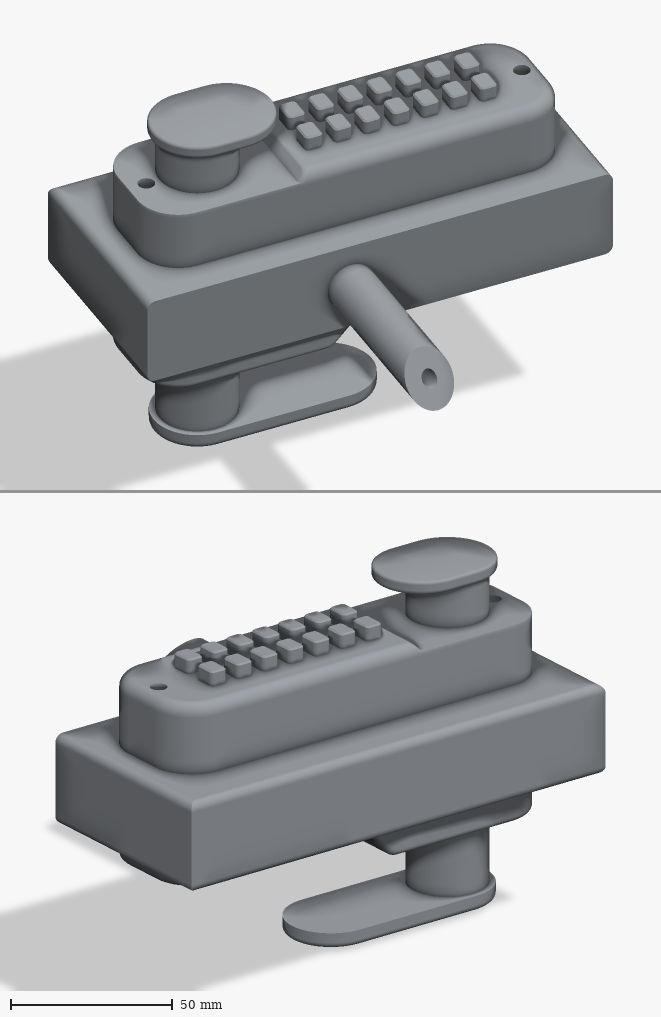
import cadquery as cq
import math

BOX_LENGTH_X = 70.0
BOX_LENGTH_Y = 160.0
BOX_DEPTH = 30.0
BOX_LEFT = -37.5
BOX_RIGHT = BOX_LEFT + BOX_LENGTH_X
BOX_TOP = BOX_DEPTH / 2
BOX_BOTTOM = -BOX_DEPTH / 2
FRAME_WIDTH = 6.25
FRAME_EDGE_RADIUS = 2.75
FRAME_EDGE_FACETS = 8

HOUSING_WIDTH = 42.0
HOUSING_LENGTH = 142.0
HOUSING_CORNER_RADIUS = 14.0

KEYPAD_HIGH = 23.0
KEYPAD_LOW = 20.0
KEYPAD_RIM_RADIUS = 4.0
STEP_FOOT_Y = -22.2
STEP_CREST_RADIUS = 1.5
SCREW_HOLE_DIAMETER = 5.5
SCREW_HOLE_Y = 64.5

KEY_WIDTH = 8.0
KEY_LENGTH = 6.0
KEY_HEIGHT = 5.0
KEY_CORNER_RADIUS = 1.5
KEY_TOP_CHAMFER = 0.5
KEY_COLUMN_SPACING = 12.2
KEY_ROW_PITCH = 10.0
KEY_ROWS = 7
FIRST_KEY_ROW_Y = 48.5

REAR_SHALLOW = 8.0
REAR_DEEP = 16.0
REAR_SLOPE_START_Y = -2.4
REAR_SLOPE_RADIUS = 5.0
REAR_RIM_RADIUS = 2.0

SPINDLE_Y = -47.0
STEM_DIAMETER = 26.0
KNOB_WIDTH = 31.0
KNOB_CENTRE_DISTANCE = 10.0
KNOB_STEM_LENGTH = 14.5
KNOB_RIM = 4.5
KNOB_TOP_EDGE_RADIUS = 1.0
KNOB_UNDERSIDE_RADIUS = 1.5
KNOB_DOME = 1.3
DOME_SHOULDER = 0.75
DOME_JOIN_TOLERANCE = 0.001
HANDLE_WIDTH = 30.0
HANDLE_CENTRE_DISTANCE = 45.0
HANDLE_STEM_LENGTH = 24.0
HANDLE_RIM = 5.25
HANDLE_EDGE_RADIUS = 2.0

OVERALL_HEIGHT = 117.31
KNOB_TOP = BOX_TOP + KEYPAD_LOW + KNOB_STEM_LENGTH + KNOB_RIM + KNOB_DOME
HANDLE_RIM_BOTTOM = BOX_BOTTOM - REAR_DEEP - HANDLE_STEM_LENGTH - HANDLE_RIM
HANDLE_DOME = HANDLE_RIM_BOTTOM - (KNOB_TOP - OVERALL_HEIGHT)

BOLT_Y = -10.0
BOLT_DIAMETER = 16.0
OVERALL_LENGTH_X = 131.47
BOLT_TIP_X = BOX_LEFT + OVERALL_LENGTH_X
BOLT_BEVEL_LENGTH = 12.5
BOLT_HOLE_DIAMETER = 5.0
BOLT_HOLE_DEPTH = 20.0


def rounded_corner(face_z, side_z):
    """Faceted quarter round from the outer wall to the top (+1) or bottom (-1) face of the box."""
    centre_z = face_z - side_z * FRAME_EDGE_RADIUS
    angles = [math.pi / 2 * i / FRAME_EDGE_FACETS for i in range(FRAME_EDGE_FACETS + 1)]
    return [
        (
            FRAME_EDGE_RADIUS - FRAME_EDGE_RADIUS * math.cos(angle),
            centre_z + side_z * FRAME_EDGE_RADIUS * math.sin(angle),
        )
        for angle in angles
    ]


def frame_section():
    """Section of the frame as (distance in from the outer wall, height) points."""
    upper = rounded_corner(BOX_TOP, 1)
    lower = rounded_corner(BOX_BOTTOM, -1)
    return upper + [(FRAME_WIDTH, BOX_TOP), (FRAME_WIDTH, BOX_BOTTOM)] + lower[::-1]


def core_block():
    return (
        cq.Workplane("XY")
        .box(BOX_LENGTH_X - FRAME_WIDTH, BOX_LENGTH_Y - 2 * FRAME_WIDTH, BOX_DEPTH)
        .translate(((BOX_LEFT + FRAME_WIDTH + BOX_RIGHT) / 2, 0, 0))
    )


def box_frame():
    """Three mitred sides, swept from the -Y side round the left to the +Y side."""
    half_y = BOX_LENGTH_Y / 2
    path = cq.Workplane("XY").polyline([
        (BOX_RIGHT, -half_y),
        (BOX_LEFT, -half_y),
        (BOX_LEFT, half_y),
        (BOX_RIGHT, half_y),
    ])
    section = [(-half_y + inset, z) for inset, z in frame_section()]
    return (
        cq.Workplane("YZ", origin=(BOX_RIGHT, 0, 0))
        .polyline(section)
        .close()
        .sweep(path, transition="right", clean=False)
    )


def housing_block(start_z, height):
    return (
        cq.Workplane("XY", origin=(0, 0, start_z))
        .rect(HOUSING_WIDTH, HOUSING_LENGTH)
        .extrude(height)
        .edges("|Z")
        .fillet(HOUSING_CORNER_RADIUS)
    )


def keypad_step():
    """Material above the low end of the keypad housing, bounded by a 45 degree slope."""
    low = BOX_TOP + KEYPAD_LOW
    high = BOX_TOP + KEYPAD_HIGH
    end_y = -HOUSING_LENGTH / 2
    return (
        cq.Workplane("YZ", origin=(-HOUSING_WIDTH / 2, 0, 0))
        .polyline([
            (STEP_FOOT_Y, low),
            (STEP_FOOT_Y + high - low, high),
            (end_y, high),
            (end_y, low),
        ])
        .close()
        .extrude(HOUSING_WIDTH)
    )


def keys():
    columns = [-KEY_COLUMN_SPACING / 2, KEY_COLUMN_SPACING / 2]
    places = [(x, FIRST_KEY_ROW_Y - row * KEY_ROW_PITCH) for x in columns for row in range(KEY_ROWS)]
    return (
        cq.Workplane("XY", origin=(0, 0, BOX_TOP + KEYPAD_HIGH))
        .pushPoints(places)
        .rect(KEY_WIDTH, KEY_LENGTH)
        .extrude(KEY_HEIGHT)
        .edges("|Z")
        .fillet(KEY_CORNER_RADIUS)
        .faces(">Z")
        .edges()
        .chamfer(KEY_TOP_CHAMFER)
    )


def keypad_housing():
    crest_y = STEP_FOOT_Y + KEYPAD_HIGH - KEYPAD_LOW
    crest = cq.selectors.NearestToPointSelector((0, crest_y, BOX_TOP + KEYPAD_HIGH))
    holes = (
        cq.Workplane("XY", origin=(0, 0, BOX_TOP))
        .pushPoints([(0, SCREW_HOLE_Y), (0, -SCREW_HOLE_Y)])
        .circle(SCREW_HOLE_DIAMETER / 2)
        .extrude(KEYPAD_HIGH)
    )
    return (
        housing_block(BOX_TOP, KEYPAD_HIGH)
        .faces(">Z")
        .edges()
        .fillet(KEYPAD_RIM_RADIUS)
        .cut(keypad_step())
        .edges(crest)
        .fillet(STEP_CREST_RADIUS)
        .cut(holes)
        .union(keys())
    )


def rear_housing():
    deep = BOX_BOTTOM - REAR_DEEP
    shallow = BOX_BOTTOM - REAR_SHALLOW
    slope_end_y = REAR_SLOPE_START_Y - (REAR_DEEP - REAR_SHALLOW)
    end_y = HOUSING_LENGTH / 2
    relief = (
        cq.Workplane("YZ", origin=(-HOUSING_WIDTH / 2, 0, 0))
        .polyline([
            (slope_end_y, deep),
            (REAR_SLOPE_START_Y, shallow),
            (end_y, shallow),
            (end_y, deep),
        ])
        .close()
        .extrude(HOUSING_WIDTH)
    )
    body = housing_block(deep, REAR_DEEP).cut(relief)
    for y, z in [(slope_end_y, deep), (REAR_SLOPE_START_Y, shallow)]:
        body = body.edges(cq.selectors.NearestToPointSelector((0, y, z))).fillet(REAR_SLOPE_RADIUS)
    return body.faces("<Z").edges().fillet(REAR_RIM_RADIUS)


def slot_outline(start_z, width, centre_distance, middle_y):
    return (
        cq.Workplane("XY", origin=(0, middle_y, start_z))
        .slot2D(centre_distance + width, width, 90)
    )


def dome(start_z, width, centre_distance, middle_y, rise):
    """Domed cap on a round-ended outline; a negative rise points down.

    The surface passes through the peak and through shoulder points halfway out to the outline.
    """
    outline = slot_outline(start_z, width, centre_distance, middle_y).val()
    quarter_x = width / 4
    quarter_y = centre_distance / 4
    tip_y = (centre_distance + width) / 4
    halfway = [(x, y) for x in (-quarter_x, quarter_x) for y in (-quarter_y, quarter_y)]
    halfway += [(0, -tip_y), (0, tip_y)]
    shoulder_z = start_z + DOME_SHOULDER * rise
    points = [cq.Vector(x, middle_y + y, shoulder_z) for x, y in halfway]
    points.append(cq.Vector(0, middle_y, start_z + rise))
    cap = cq.Face.makeNSidedSurface(outline.Edges(), points)
    base = cq.Face.makeFromWires(outline)
    return cq.Workplane(cq.Solid.makeSolid(cq.Shell.makeShell([cap, base])))


def stem(start_z, length):
    return cq.Workplane("XY", origin=(0, SPINDLE_Y, start_z)).circle(STEM_DIAMETER / 2).extrude(length)


def knob():
    seat_z = BOX_TOP + KEYPAD_LOW
    plate_z = seat_z + KNOB_STEM_LENGTH
    rim_z = plate_z + KNOB_RIM
    middle_y = SPINDLE_Y + KNOB_CENTRE_DISTANCE / 2
    plate = (
        slot_outline(plate_z, KNOB_WIDTH, KNOB_CENTRE_DISTANCE, middle_y)
        .extrude(KNOB_RIM)
        .faces(">Z")
        .edges()
        .fillet(KNOB_TOP_EDGE_RADIUS)
        .faces("<Z")
        .edges()
        .fillet(KNOB_UNDERSIDE_RADIUS)
    )
    cap = dome(rim_z, KNOB_WIDTH - 2 * KNOB_TOP_EDGE_RADIUS, KNOB_CENTRE_DISTANCE, middle_y, KNOB_DOME)
    return stem(seat_z, KNOB_STEM_LENGTH).union(plate).union(cap, tol=DOME_JOIN_TOLERANCE)


def handle():
    seat_z = BOX_BOTTOM - REAR_DEEP
    plate_z = seat_z - HANDLE_STEM_LENGTH
    middle_y = SPINDLE_Y + HANDLE_CENTRE_DISTANCE / 2
    plate = (
        slot_outline(plate_z, HANDLE_WIDTH, HANDLE_CENTRE_DISTANCE, middle_y)
        .extrude(-HANDLE_RIM)
        .faces("<Z")
        .edges()
        .fillet(HANDLE_EDGE_RADIUS)
    )
    cap_width = HANDLE_WIDTH - 2 * HANDLE_EDGE_RADIUS
    cap = dome(HANDLE_RIM_BOTTOM, cap_width, HANDLE_CENTRE_DISTANCE, middle_y, -HANDLE_DOME)
    return stem(plate_z, HANDLE_STEM_LENGTH).union(plate).union(cap, tol=DOME_JOIN_TOLERANCE)


def bolt():
    radius = BOLT_DIAMETER / 2
    side = (
        cq.Workplane("XZ", origin=(0, BOLT_Y + radius, 0))
        .polyline([
            (BOX_RIGHT, -radius),
            (BOLT_TIP_X, -radius),
            (BOLT_TIP_X - BOLT_BEVEL_LENGTH, radius),
            (BOX_RIGHT, radius),
        ])
        .close()
        .extrude(BOLT_DIAMETER)
    )
    rod = (
        cq.Workplane("YZ", origin=(BOX_RIGHT, BOLT_Y, 0))
        .circle(radius)
        .extrude(BOLT_TIP_X - BOX_RIGHT)
    )
    hole = (
        cq.Workplane("YZ", origin=(BOLT_TIP_X, BOLT_Y, 0))
        .circle(BOLT_HOLE_DIAMETER / 2)
        .extrude(-BOLT_HOLE_DEPTH)
    )
    return rod.intersect(side).cut(hole)


bodies = [box_frame(), core_block(), keypad_housing(), rear_housing(), knob(), handle(), bolt()]
result = cq.Compound.makeCompound([body.solids().val() for body in bodies])